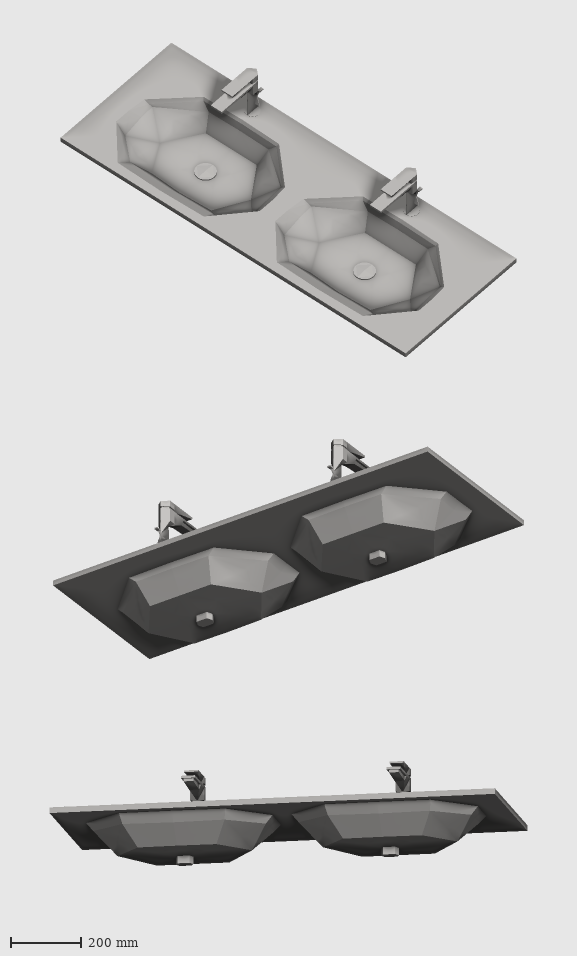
import cadquery as cq


TOP_LENGTH = 1290.0
TOP_DEPTH = 485.0
TOP_THICKNESS = 16.5
STATION_PITCH = 595.0

DRAIN_Y = -15.0
INNER_FLOOR_Z = -84.0
INNER_CENTRE_Z = -89.0
OUTER_FLOOR_Z = -102.0
OUTER_CENTRE_Z = -110.0
INNER_RIM = [
    (0, 146, 0), (141, 142, 0), (263, 25, 0), (268, -34, 0), (268, -92, 0), (161, -211, 0), (0, -215, 0)
]
INNER_LIP = [(0, 139, -9), (136, 136, -9), (249, 29, -13)] + INNER_RIM[3:]
INNER_CREASE = [
    (0, 132, -33), (112, 130, -33), (240, 33, -22), (240, DRAIN_Y, -26), (236, -90, -38), (160, -158, -40),
    (0, -161, -42),
]
INNER_FLOOR = [
    (0, 98, INNER_FLOOR_Z), (95, 98, INNER_FLOOR_Z), (170, DRAIN_Y, INNER_FLOOR_Z),
    (170, DRAIN_Y, INNER_FLOOR_Z), (170, DRAIN_Y, INNER_FLOOR_Z), (111, -120, INNER_FLOOR_Z),
    (0, -126, INNER_FLOOR_Z),
]
OUTER_RIM = [
    (0, 157, -TOP_THICKNESS), (146, 155, -TOP_THICKNESS), (269, 32, -TOP_THICKNESS),
    (269, -34, -TOP_THICKNESS), (270, -96, -TOP_THICKNESS), (154, -204, -TOP_THICKNESS),
    (0, -206, -TOP_THICKNESS),
]
OUTER_CREASE = [
    (0, 153, -35), (125, 151, -35), (250, 33, -35), (250, -34, -37), (250, -93, -40), (148, -184, -44),
    (0, -186, -46),
]
OUTER_FLOOR = [
    (0, 109, OUTER_FLOOR_Z), (105, 109, OUTER_FLOOR_Z), (195, DRAIN_Y, -98), (195, DRAIN_Y, -98),
    (195, DRAIN_Y, -98), (114, -130, OUTER_FLOOR_Z), (0, -132, OUTER_FLOOR_Z),
]

DRAIN_DIAMETER = 65.0
DRAIN_FLANGE_THICKNESS = 5.0
DRAIN_CAP_HEIGHT = 3.0
TAIL_HALF_WIDTH = 25.0
TAIL_SHOULDER = 17.5
DRAIN_BOTTOM_Z = -130.67

TAP_HALF_WIDTH = 20.5
TAP_BACK_Y = 209.0
TAP_SHOULDER_Y = 191.0
TAP_FRONT_Y = 170.0
TAP_TOP_Z = 139.0
WAIST_Z = 98.0
TAPER_BACK_Z = 52.0
TAPER_FRONT_Z = 94.0
FIN_THICKNESS = 2.0
FIN_BACK_Y = 215.0
FIN_FRONT_Y = 167.0
ROSETTE_DIAMETER = 46.0
ROSETTE_THICKNESS = 1.0
SPOUT_TIP_Y = 32.0
SPOUT_PLATE_THICKNESS = 7.0
GUSSET_END_Y = 124.0
KEEL_HALF_WIDTH = 2.0
NOZZLE_TIP_Y = 39.0
NOZZLE_HALF_WIDTH = 14.0
NOZZLE_BACK_Z = 118.0
NOZZLE_TIP_Z = 124.0

LEVER_TOP_Z = 165.0
LEVER_BOTTOM_Z = 145.0
LEVER_TIP_Y = 79.0
LEVER_TIP_THICKNESS = 5.0
LEVER_BACK_Z = 162.0
LEVER_UNDERSIDE_HALF_WIDTH = 8.0
NECK_INSET = 4.0

ROD_THICKNESS = 4.0
ROD_HALF_WIDTH = 2.0
KNOB_HALF_WIDTH = 5.0
KNOB_BACK_Y = 233.0
KNOB_FRONT_Y = 217.0
KNOB_Z = 60.0
LEAF_TOP = (208.0, 46.0)
LEAF_BOTTOM = (200.0, 24.0)
LEAF_HALF_WIDTH = 17.5
LEAF_BULGE = 0.6
LEAF_THICKNESS = 2.0


def mirrored_ring(half):
    """Close a half outline whose first and last points lie on the centre plane."""
    return half + [(-x, y, z) for x, y, z in half[-2:0:-1]]


def polygon_face(points):
    return cq.Face.makeFromWires(cq.Wire.makePolygon([cq.Vector(*p) for p in points], close=True))


def solid_from(faces):
    return cq.Workplane(cq.Solid.makeSolid(cq.Shell.makeShell(faces)))


def wall_face(a, b, c, d):
    """Ruled face between upper edge a-b and lower edge d-c, or a triangle where two corners coincide."""
    corners = list(dict.fromkeys([a, b, c, d]))
    if len(corners) == 3:
        return polygon_face(corners)
    upper = cq.Edge.makeLine(cq.Vector(*a), cq.Vector(*b))
    lower = cq.Edge.makeLine(cq.Vector(*d), cq.Vector(*c))
    return cq.Face.makeRuledSurface(upper, lower)


def faceted_solid(rings, bottom):
    """Solid with one wall face per side between stacked rings, a flat lid and the given bottom face."""
    faces = [polygon_face(rings[0]), bottom]
    for upper, lower in zip(rings, rings[1:]):
        for i, start in enumerate(upper):
            j = (i + 1) % len(upper)
            if (start, upper[j]) != (lower[i], lower[j]):
                faces.append(wall_face(start, upper[j], lower[j], lower[i]))
    return solid_from(faces)


def dished_face(ring, centre):
    """Smooth face that fills a ring and dips to the centre point."""
    corners = list(dict.fromkeys(ring))
    edges = [
        cq.Edge.makeLine(cq.Vector(*start), cq.Vector(*end))
        for start, end in zip(corners, corners[1:] + corners[:1])
    ]
    return cq.Face.makeNSidedSurface(edges, [cq.Vector(*centre)])


def basin_solid(halves, centre):
    rings = [mirrored_ring(half) for half in halves]
    return faceted_solid(rings, dished_face(rings[-1], centre))


def cone_over(ring, tip):
    """Pyramid from a flat ring to a tip."""
    faces = [polygon_face(ring)]
    faces += [polygon_face([start, end, tip]) for start, end in zip(ring, ring[1:] + ring[:1])]
    return solid_from(faces)


def side_profile(points, half_width):
    """Extrude a (Y, Z) outline to both sides of the station's centre plane."""
    return cq.Workplane("YZ").polyline(points).close().extrude(half_width, both=True)


def tapered_arm(back, front):
    """Arm between two upright trapezoids, each given as (Y, top Z, bottom Z, bottom half width)."""
    sections = []
    for y, top, bottom, bottom_half in (back, front):
        corners = [
            (-TAP_HALF_WIDTH, y, top), (TAP_HALF_WIDTH, y, top), (bottom_half, y, bottom),
            (-bottom_half, y, bottom),
        ]
        sections.append(cq.Wire.makePolygon([cq.Vector(*p) for p in corners], close=True))
    return cq.Workplane(cq.Solid.makeLoft(sections, True))


def pointed_plan(back, shoulder, front, half_width):
    """Five-sided (X, Y) outline that comes to a point at the back."""
    return [
        (0, back), (half_width, shoulder), (half_width, front), (-half_width, front), (-half_width, shoulder)
    ]


def prism(outline, bottom, top):
    return cq.Workplane().workplane(offset=bottom).polyline(outline).close().extrude(top - bottom)


def make_drain():
    flange_top = INNER_CENTRE_Z + DRAIN_FLANGE_THICKNESS
    radius = DRAIN_DIAMETER / 2
    flange = (
        cq.Workplane().workplane(offset=INNER_CENTRE_Z).center(0, DRAIN_Y)
        .circle(radius).extrude(DRAIN_FLANGE_THICKNESS)
    )
    cap_outline = [(radius, DRAIN_Y), (0, DRAIN_Y + radius), (-radius, DRAIN_Y), (0, DRAIN_Y - radius)]
    cap = cone_over([(x, y, flange_top) for x, y in cap_outline], (0, DRAIN_Y, flange_top + DRAIN_CAP_HEIGHT))
    tail_outline = [
        (TAIL_HALF_WIDTH, DRAIN_Y), (TAIL_SHOULDER, DRAIN_Y + TAIL_SHOULDER),
        (-TAIL_SHOULDER, DRAIN_Y + TAIL_SHOULDER), (-TAIL_HALF_WIDTH, DRAIN_Y),
        (-TAIL_SHOULDER, DRAIN_Y - TAIL_SHOULDER), (TAIL_SHOULDER, DRAIN_Y - TAIL_SHOULDER),
    ]
    return flange.union(cap).union(prism(tail_outline, DRAIN_BOTTOM_Z, INNER_CENTRE_Z))


def make_rod():
    half = ROD_THICKNESS / 2
    knob = side_profile(
        [(KNOB_BACK_Y, KNOB_Z - half), (KNOB_BACK_Y, KNOB_Z + half),
         (KNOB_FRONT_Y, KNOB_Z + half), (KNOB_FRONT_Y, KNOB_Z - half)],
        KNOB_HALF_WIDTH,
    )
    top_y, top_z = LEAF_TOP
    bottom_y, bottom_z = LEAF_BOTTOM
    link = side_profile(
        [(KNOB_FRONT_Y - half, KNOB_Z + half), (KNOB_FRONT_Y + half, KNOB_Z - half),
         (top_y + half, top_z), (top_y - half, top_z)],
        ROD_HALF_WIDTH,
    )
    slope = cq.Vector(0, top_y - bottom_y, top_z - bottom_z)
    length = slope.Length
    face = cq.Plane(origin=(0, bottom_y, bottom_z), xDir=(1, 0, 0), normal=cq.Vector(1, 0, 0).cross(slope))
    leaf = (
        cq.Workplane(face)
        .moveTo(-LEAF_HALF_WIDTH, 0)
        .lineTo(LEAF_HALF_WIDTH, 0)
        .threePointArc((LEAF_HALF_WIDTH * LEAF_BULGE, length * LEAF_BULGE), (ROD_HALF_WIDTH, length))
        .lineTo(-ROD_HALF_WIDTH, length)
        .threePointArc((-LEAF_HALF_WIDTH * LEAF_BULGE, length * LEAF_BULGE), (-LEAF_HALF_WIDTH, 0))
        .close()
        .extrude(LEAF_THICKNESS / 2, both=True)
    )
    return knob.union(link).union(leaf)


def make_taper(plan):
    """Faceted taper from the column's five-sided plan down to the fin."""
    waist = [(x, y, WAIST_Z) for x, y in plan]
    fin_half = FIN_THICKNESS / 2
    back_tip = (0, TAP_BACK_Y, TAPER_BACK_Z)
    front_right = (fin_half, TAP_FRONT_Y, TAPER_FRONT_Z)
    front_left = (-fin_half, TAP_FRONT_Y, TAPER_FRONT_Z)
    faces = [polygon_face(waist), polygon_face([back_tip, front_right, front_left])]
    back, right_shoulder, right_front, left_front, left_shoulder = waist
    for corners in (
        [back, right_shoulder, back_tip],
        [right_shoulder, front_right, back_tip],
        [right_shoulder, right_front, front_right],
        [right_front, left_front, front_left],
        [right_front, front_left, front_right],
        [left_front, left_shoulder, front_left],
        [left_shoulder, back_tip, front_left],
        [left_shoulder, back, back_tip],
    ):
        faces.append(polygon_face(corners))
    return solid_from(faces)


def make_tap(rod):
    plan = pointed_plan(TAP_BACK_Y, TAP_SHOULDER_Y, TAP_FRONT_Y, TAP_HALF_WIDTH)
    column = prism(plan, WAIST_Z, TAP_TOP_Z)
    fin_half = FIN_THICKNESS / 2
    fin = side_profile(
        [(FIN_BACK_Y, 0), (FIN_FRONT_Y, 0), (TAP_FRONT_Y, WAIST_Z), (TAP_BACK_Y, WAIST_Z)], fin_half
    )
    rosette = (
        cq.Workplane().center(0, (FIN_BACK_Y + FIN_FRONT_Y) / 2)
        .circle(ROSETTE_DIAMETER / 2).extrude(ROSETTE_THICKNESS)
    )
    plate_bottom = TAP_TOP_Z - SPOUT_PLATE_THICKNESS
    spout = side_profile(
        [(TAP_FRONT_Y, plate_bottom), (SPOUT_TIP_Y, plate_bottom), (SPOUT_TIP_Y, TAP_TOP_Z),
         (TAP_FRONT_Y, TAP_TOP_Z)],
        TAP_HALF_WIDTH,
    )
    gusset = tapered_arm(
        (TAP_FRONT_Y, plate_bottom, WAIST_Z, KEEL_HALF_WIDTH),
        (GUSSET_END_Y, plate_bottom, NOZZLE_BACK_Z, NOZZLE_HALF_WIDTH),
    )
    nozzle = side_profile(
        [(GUSSET_END_Y, NOZZLE_BACK_Z), (NOZZLE_TIP_Y, NOZZLE_TIP_Z), (NOZZLE_TIP_Y, plate_bottom),
         (GUSSET_END_Y, plate_bottom)],
        NOZZLE_HALF_WIDTH,
    )
    tap = column.union(make_taper(plan))
    for piece in (fin, rosette, spout, gusset, nozzle):
        tap = tap.union(piece)
    return tap.cut(rod)


def make_lever():
    block = side_profile(
        [(TAP_BACK_Y, LEVER_BOTTOM_Z), (TAP_BACK_Y, LEVER_BACK_Z), (TAP_SHOULDER_Y, LEVER_TOP_Z),
         (TAP_FRONT_Y, LEVER_TOP_Z), (TAP_FRONT_Y, LEVER_BOTTOM_Z)],
        TAP_HALF_WIDTH,
    )
    plan = pointed_plan(TAP_BACK_Y, TAP_SHOULDER_Y, TAP_FRONT_Y, TAP_HALF_WIDTH)
    block = block.intersect(prism(plan, LEVER_BOTTOM_Z, LEVER_TOP_Z))
    handle = tapered_arm(
        (TAP_FRONT_Y, LEVER_TOP_Z, LEVER_BOTTOM_Z, LEVER_UNDERSIDE_HALF_WIDTH),
        (LEVER_TIP_Y, LEVER_TOP_Z, LEVER_TOP_Z - LEVER_TIP_THICKNESS, TAP_HALF_WIDTH),
    )
    neck = prism(
        pointed_plan(TAP_BACK_Y - NECK_INSET, TAP_SHOULDER_Y, TAP_FRONT_Y, TAP_HALF_WIDTH - NECK_INSET),
        TAP_TOP_Z, LEVER_BOTTOM_Z,
    )
    return block.union(handle).union(neck)


def make_countertop(stations, drain):
    """Countertop with a faceted basin at each station, opened for its drain."""
    top = (
        cq.Workplane().workplane(offset=-TOP_THICKNESS)
        .rect(TOP_LENGTH, TOP_DEPTH).extrude(TOP_THICKNESS)
    )
    outside = basin_solid((OUTER_RIM, OUTER_CREASE, OUTER_FLOOR), (0, DRAIN_Y, OUTER_CENTRE_Z))
    inside = basin_solid((INNER_RIM, INNER_LIP, INNER_CREASE, INNER_FLOOR), (0, DRAIN_Y, INNER_CENTRE_Z))
    for x in stations:
        top = top.union(outside.translate((x, 0, 0)))
    for x in stations:
        top = top.cut(inside.translate((x, 0, 0))).cut(drain.translate((x, 0, 0)))
    return top


stations = [-STATION_PITCH / 2, STATION_PITCH / 2]
drain = make_drain()
rod = make_rod()
tap = make_tap(rod)
lever = make_lever()
countertop = make_countertop(stations, drain)

bodies = [countertop.val()]
for x in stations:
    for body in (drain, tap, lever, rod):
        bodies.append(body.translate((x, 0, 0)).val())

result = cq.Compound.makeCompound(bodies)